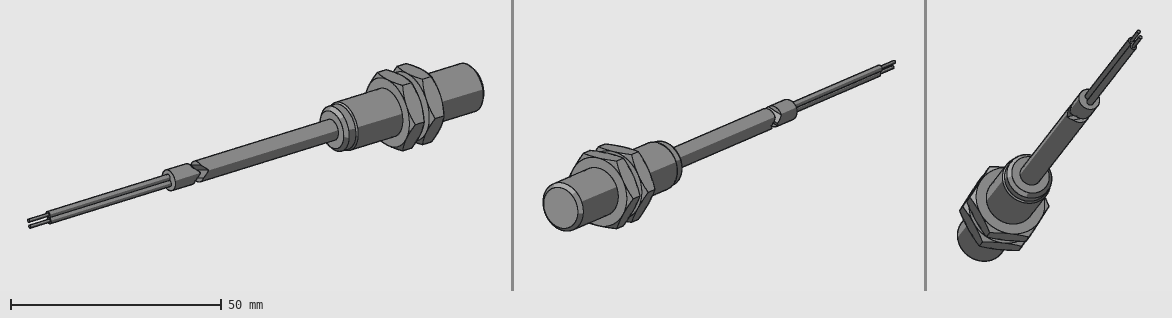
import cadquery as cq
import math


housing_diameter = 12.0
housing_length = 39.0
face_chamfer = 0.9
rear_chamfer = 0.4

cap_diameter = 11.2
cap_length = 2.9
cap_chamfer = 0.9

nut_across_flats = 17.0
nut_thickness = 4.3
first_nut_offset = 14.9
nut_pitch = 6.0
nut_count = 2
nut_chamfer_angle = 30

cable_diameter = 5.2
cable_end = 82.5
break_depth = 1.6
break_gap = 0.8
break_half_height = 1.6
sheath_end = 91.0

cable_twist = 18

total_length = 133
insulation_end = 127.1
insulation_diameter = 1.6
conductor_diameter = 0.8
wire_spacing = 1.5
wire_count = 2


def rod(diameter, start, end, x=0, z=0):
    """Cylinder along Y between two distances behind the sensing face."""
    profile = cq.Workplane("XZ", origin=(x, -start, z)).circle(diameter / 2)
    return profile.extrude(end - start)


def make_housing():
    barrel = rod(housing_diameter, 0, housing_length)
    return barrel.faces(">Y").chamfer(face_chamfer).faces("<Y").chamfer(rear_chamfer)


def make_cap():
    body = rod(cap_diameter, housing_length, housing_length + cap_length)
    return body.faces("<Y").chamfer(cap_chamfer)


def make_nut(start):
    across_corners = nut_across_flats / math.cos(math.pi / 6)
    blank = cq.Workplane("XZ", origin=(0, -start, 0)).polygon(6, across_corners).extrude(nut_thickness)

    corner_radius = across_corners / 2
    face_radius = nut_across_flats / 2
    bevel = (corner_radius - face_radius) * math.tan(math.radians(nut_chamfer_angle))
    end = start + nut_thickness
    envelope = (
        cq.Workplane("XY")
        .moveTo(0, -start)
        .lineTo(face_radius, -start)
        .lineTo(corner_radius, -start - bevel)
        .lineTo(corner_radius, -end + bevel)
        .lineTo(face_radius, -end)
        .lineTo(0, -end)
        .close()
        .revolve(360, (0, 0, 0), (0, 1, 0))
    )
    return blank.intersect(envelope).cut(rod(housing_diameter, start, end))


def break_wedge(tip):
    """Twisted wedge across the cable, its edge pointing toward the housing at the given distance."""
    base = tip + break_depth
    return (
        cq.Workplane("YZ")
        .polyline([(-tip, 0), (-base, break_half_height), (-base, -break_half_height)])
        .close()
        .extrude(cable_diameter, both=True)
        .rotate((0, 0, 0), (0, 1, 0), -cable_twist)
    )


def make_cable():
    sheath = rod(cable_diameter, housing_length + cap_length, cable_end)
    return sheath.cut(break_wedge(cable_end - break_depth))


def make_cable_tail():
    tip = cable_end + break_gap
    shoulder = tip + break_depth
    point = rod(cable_diameter, tip, shoulder).intersect(break_wedge(tip))
    tail = rod(cable_diameter, shoulder, sheath_end).union(point)
    for index in range(wire_count):
        angle = math.radians(90 + cable_twist) + index * 2 * math.pi / wire_count
        x = wire_spacing / 2 * math.cos(angle)
        z = wire_spacing / 2 * math.sin(angle)
        tail = tail.union(rod(insulation_diameter, shoulder, insulation_end, x, z))
        tail = tail.union(rod(conductor_diameter, shoulder, total_length, x, z))
    return tail


housing = make_housing()
cap = make_cap()
nuts = [make_nut(first_nut_offset + index * nut_pitch) for index in range(nut_count)]
cable = make_cable()
cable_tail = make_cable_tail()

result = cq.Compound.makeCompound(
    [housing.val(), cap.val(), *[nut.val() for nut in nuts], cable.val(), cable_tail.val()]
)